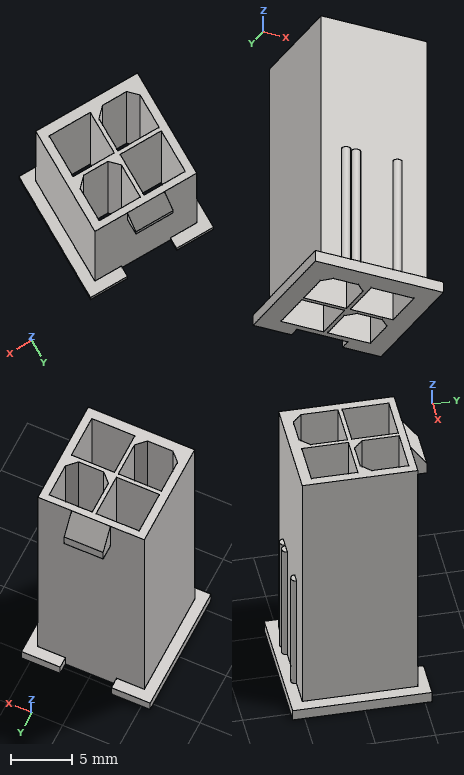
import cadquery as cq

body_width = 9.6
body_height = 22.9
flange_overhang = 1.0
flange_width = body_width + 2 * flange_overhang
flange_thickness = 1.0
total_height = flange_thickness + body_height
body_half = body_width / 2

cavity_grid_width = 8.1
divider_thickness = 0.35
front_wall_thickness = 0.9
cavity_chamfer = 0.8
cavity_size = (cavity_grid_width - divider_thickness) / 2
cavity_pitch = cavity_size + divider_thickness
cavity_grid_center_y = -body_half + front_wall_thickness + cavity_grid_width / 2

latch_width = 3.5
latch_reach = 1.4
latch_height = 3.0
latch_ramp_height = 2.0
notch_width = 4.6

rib_radius = 0.4
rib_height = 10.9
rib_positions_x = (-2.55, -1.65, 2.1)


def make_flange():
    """Base plate with the latch notch cut up to the back face of the body."""
    plate = cq.Workplane("XY").rect(flange_width, flange_width).extrude(flange_thickness)
    notch = (
        cq.Workplane("XY")
        .center(0, body_half + flange_overhang / 2)
        .rect(notch_width, flange_overhang)
        .extrude(flange_thickness)
    )
    return plate.cut(notch)


def make_body():
    """Square tower standing through the flange up to the full height."""
    return cq.Workplane("XY").rect(body_width, body_width).extrude(total_height)


def make_latch():
    """Ramped catch flush with the top of the body, flat underneath."""
    tip_y = body_half + latch_reach
    underside_z = total_height - latch_height
    return (
        cq.Workplane("YZ")
        .moveTo(body_half, total_height)
        .lineTo(tip_y, total_height - latch_ramp_height)
        .lineTo(tip_y, underside_z)
        .lineTo(body_half, underside_z)
        .close()
        .extrude(latch_width / 2, both=True)
    )


def make_rib(x):
    """Round bar centred on the front face, so that half of it stands proud."""
    return (
        cq.Workplane("XY")
        .workplane(offset=flange_thickness)
        .center(x, -body_half)
        .circle(rib_radius)
        .extrude(rib_height)
    )


def make_cavity(column, row):
    """Through cavity; column and row are -1 or +1. One diagonal pair has keyed front corners."""
    x = column * cavity_pitch / 2
    y = cavity_grid_center_y + row * cavity_pitch / 2
    cavity = cq.Workplane("XY").center(x, y).rect(cavity_size, cavity_size).extrude(total_height)
    if column == row:
        cavity = cavity.faces("<Y").edges("|Z").chamfer(cavity_chamfer)
    return cavity


result = make_flange().union(make_body()).union(make_latch())

for rib_x in rib_positions_x:
    result = result.union(make_rib(rib_x))

for cavity_column in (-1, 1):
    for cavity_row in (-1, 1):
        result = result.cut(make_cavity(cavity_column, cavity_row))